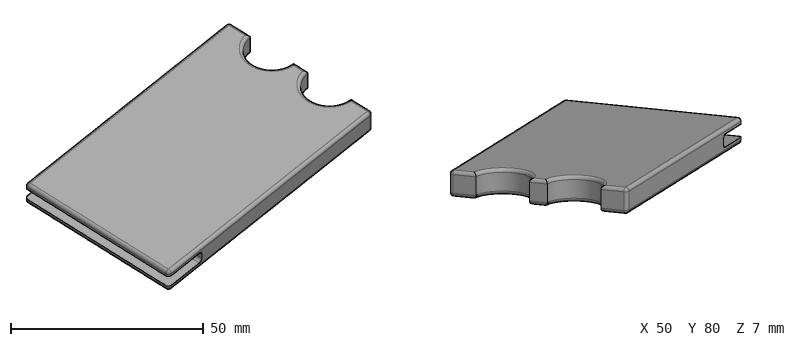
import cadquery as cq

width = 50.0
length = 80.0
thickness = 7.0
edge_radius = 1.0

slot_height = 3.5
slot_depth = 13.0
slot_corner_radius = 1.0

notch_radius = 7.5
notch_spacing = 20.0

front_y = -length / 2
back_y = length / 2


def rounded_plate():
    """Block with every outer edge rounded."""
    return cq.Workplane("XY").box(width, length, thickness).edges().fillet(edge_radius)


def front_slot():
    """Cutter for the slot, rounded along both inner corners."""
    overrun = slot_depth
    return (
        cq.Workplane("XY")
        .box(2 * width, slot_depth + overrun, slot_height)
        .translate((0, front_y + (slot_depth - overrun) / 2, 0))
        .edges("|X and >Y")
        .fillet(slot_corner_radius)
    )


def back_notch(centre_x):
    """Cutter for one notch: a cylinder that flares into the rounded rims of both faces."""
    half_thickness = thickness / 2
    rim_z = half_thickness - edge_radius
    mouth_radius = notch_radius + edge_radius
    arc_inset = edge_radius * (1 - 0.5**0.5)
    profile = (
        cq.Workplane("XZ")
        .moveTo(0, -half_thickness)
        .lineTo(mouth_radius, -half_thickness)
        .threePointArc(
            (notch_radius + arc_inset, -half_thickness + arc_inset),
            (notch_radius, -rim_z),
        )
        .lineTo(notch_radius, rim_z)
        .threePointArc(
            (notch_radius + arc_inset, half_thickness - arc_inset),
            (mouth_radius, half_thickness),
        )
        .lineTo(0, half_thickness)
        .close()
    )
    return profile.revolve(360, (0, 0), (0, 1)).translate((centre_x, back_y, 0))


result = rounded_plate().cut(front_slot())
for side in (-1, 1):
    result = result.cut(back_notch(side * notch_spacing / 2))